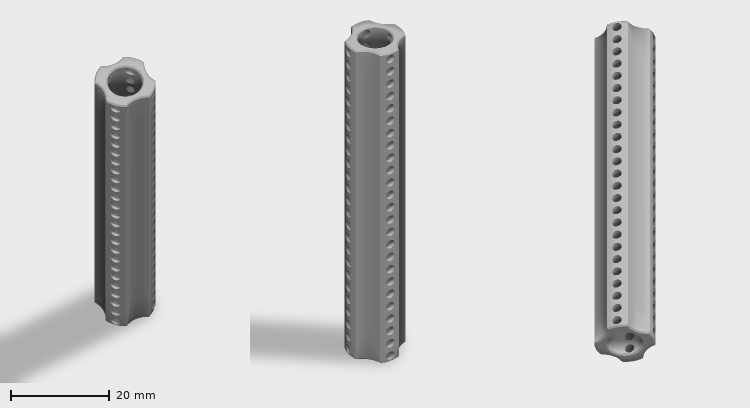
import cadquery as cq
import math

outer_diameter = 12.5
bore_diameter = 7.2
hole_diameter = 2.0
hole_pitch = 3.125
hole_count = 25
length = hole_count * hole_pitch

lobe_half_width = 2.22
hollow_depth_radius = 5.0
edge_chamfer = 0.3

outer_radius = outer_diameter / 2
lobe_count = 4
lobe_angle = 360 / lobe_count
lobe_half_angle = math.degrees(math.asin(lobe_half_width / outer_radius))


def polar(radius, angle):
    """Point at a radius and an angle in degrees around the tube axis."""
    radians = math.radians(angle)
    return radius * math.cos(radians), radius * math.sin(radians)


def make_body():
    """Extruded four-lobed bar with chamfered outer end edges."""
    outline = cq.Workplane("XY").moveTo(*polar(outer_radius, -lobe_half_angle))
    for index in range(lobe_count):
        lobe_center = index * lobe_angle
        hollow_center = lobe_center + lobe_angle / 2
        next_lobe_start = lobe_center + lobe_angle - lobe_half_angle
        outline = outline.threePointArc(
            polar(outer_radius, lobe_center),
            polar(outer_radius, lobe_center + lobe_half_angle),
        )
        outline = outline.threePointArc(
            polar(hollow_depth_radius, hollow_center),
            polar(outer_radius, next_lobe_start),
        )
    return outline.close().extrude(length).faces("<Z or >Z").chamfer(edge_chamfer)


def make_bore():
    """Through bore, flared by a chamfer at both ends."""
    bore = cq.Workplane("XY").circle(bore_diameter / 2).extrude(length)
    mouth_radius = bore_diameter / 2 + edge_chamfer
    lower_mouth = cq.Solid.makeCone(mouth_radius, bore_diameter / 2, edge_chamfer)
    upper_mouth = lower_mouth.mirror("XY").translate(cq.Vector(0, 0, length))
    return bore.union(cq.Workplane(lower_mouth)).union(cq.Workplane(upper_mouth))


def drill_row(body, plane):
    """Row of holes along Z, drilled straight through two opposite lobes."""
    centers = [(0, (index + 0.5) * hole_pitch) for index in range(hole_count)]
    drills = (
        cq.Workplane(plane)
        .pushPoints(centers)
        .circle(hole_diameter / 2)
        .extrude(outer_diameter, both=True)
    )
    return body.cut(drills)


result = make_body().cut(make_bore())
for row_plane in ("XZ", "YZ"):
    result = drill_row(result, row_plane)